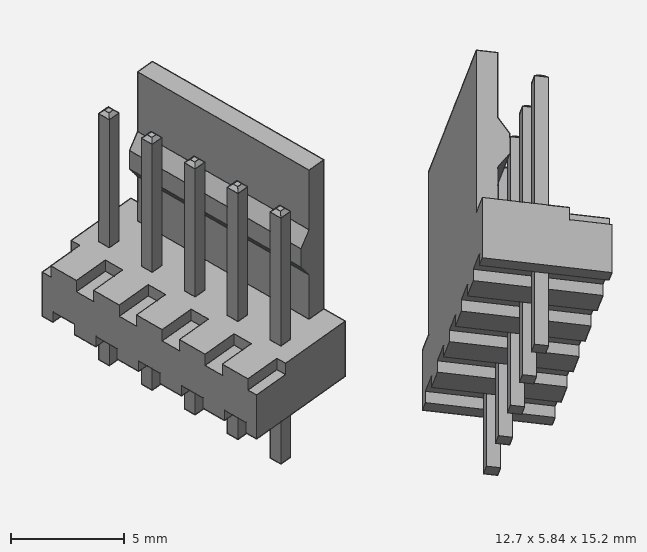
import cadquery as cq


pin_count = 5
base_width = 12.7
pitch = base_width / pin_count
pin_size = 0.64
pin_tip_height = 0.18
pin_tip_size = pin_size - 2 * pin_tip_height
pin_from_back = 2.87
pin_above_base = 7.48

base_depth = 5.84
base_height = 3.15
overall_height = 15.24
wall_height = 8.5
pin_below_base = overall_height - base_height - wall_height

notch_width = 1.02
notch_length = 1.9
notch_depth = 0.64

channel_width = pitch / 2
channel_depth = 0.6

wall_width = pitch * (pin_count - 1)
wall_thickness = 0.98
ridge_projection = 0.53
ridge_bottom = 2.53
ridge_top = 5.1
ridge_slope_height = 0.76

back_y = base_depth / 2
front_y = -base_depth / 2
pin_y = back_y - pin_from_back
pin_positions = [(i - (pin_count - 1) / 2) * pitch for i in range(pin_count)]
notch_positions = [(i - pin_count / 2) * pitch for i in range(pin_count + 1)]


def make_base():
    base = cq.Workplane("XY").box(base_width, base_depth, base_height, centered=(True, True, False))

    notches = (
        cq.Workplane("XY", origin=(0, front_y + notch_length / 2, base_height))
        .pushPoints([(x, 0) for x in notch_positions])
        .rect(notch_width, notch_length)
        .extrude(-notch_depth)
    )
    channels = (
        cq.Workplane("XY")
        .pushPoints([(x, 0) for x in pin_positions])
        .rect(channel_width, base_depth)
        .extrude(channel_depth)
    )
    return base.cut(notches).cut(channels)


def make_wall():
    wall_front_y = back_y - wall_thickness
    ridge_y = wall_front_y - ridge_projection
    profile = [
        (back_y, 0),
        (back_y, wall_height),
        (wall_front_y, wall_height),
        (wall_front_y, ridge_top),
        (ridge_y, ridge_top - ridge_slope_height),
        (ridge_y, ridge_bottom + ridge_slope_height),
        (wall_front_y, ridge_bottom),
        (wall_front_y, 0),
    ]
    return (
        cq.Workplane("YZ", origin=(0, 0, base_height))
        .polyline(profile)
        .close()
        .extrude(wall_width / 2, both=True)
    )


def make_pin(x):
    shaft_length = pin_below_base + base_height + pin_above_base - pin_tip_height
    shaft = (
        cq.Workplane("XY", origin=(x, pin_y, -pin_below_base))
        .rect(pin_size, pin_size)
        .extrude(shaft_length)
    )
    tip = (
        cq.Workplane("XY", origin=(x, pin_y, shaft_length - pin_below_base))
        .rect(pin_size, pin_size)
        .workplane(offset=pin_tip_height)
        .rect(pin_tip_size, pin_tip_size)
        .loft(ruled=True)
    )
    return shaft.union(tip)


result = make_base().union(make_wall())
for pin_x in pin_positions:
    result = result.union(make_pin(pin_x))